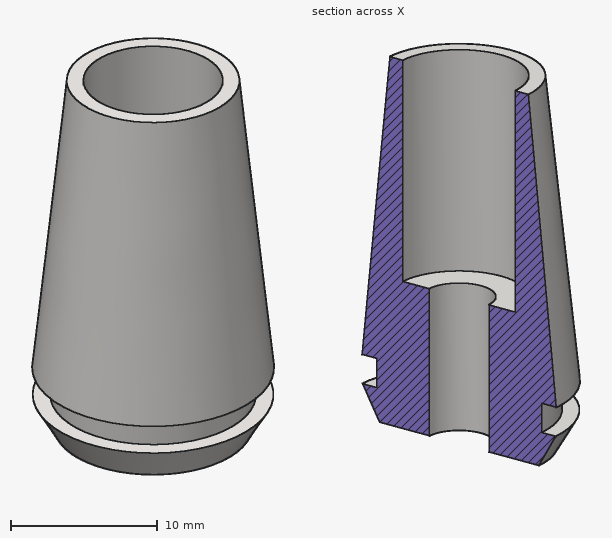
import cadquery as cq

total_height = 27.0
flange_height = 2.5
groove_top = 4.62
bore_floor = 10.8

base_radius = 6.75
flange_radius = 8.2
groove_radius = 7.02
body_radius = 8.248
top_radius = 5.89
bore_radius = 4.75
hole_radius = 2.5

section = (
    cq.Workplane("XZ")
    .moveTo(hole_radius, 0)
    .lineTo(base_radius, 0)
    .lineTo(flange_radius, flange_height)
    .lineTo(groove_radius, flange_height)
    .lineTo(groove_radius, groove_top)
    .lineTo(body_radius, groove_top)
    .lineTo(top_radius, total_height)
    .lineTo(bore_radius, total_height)
    .lineTo(bore_radius, bore_floor)
    .lineTo(hole_radius, bore_floor)
    .close()
)

result = section.revolve(360, (0, 0, 0), (0, 1, 0))